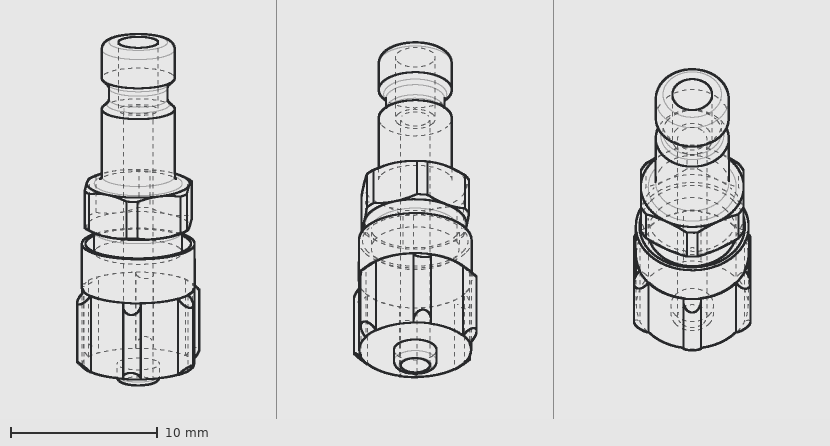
import cadquery as cq
import math

total_height = 24
head_bottom = 21.45
stem_top = 19.27
nut_top = 14.0
nut_bottom = 11.0
collar_top = 9.72
rib_top = 6.6
sleeve_bottom = 1.2

stem_diameter = 5.0
groove_diameter = 4.0
neck_diameter = 6
collar_diameter = 7.7
sleeve_diameter = 7.63
nut_corner_diameter = 7.7
tip_diameter = 2.9
recess_diameter = 7.2
bore_diameter = 2.0
socket_diameter = 2.7

nut_across_flats = 7.0
nut_chamfer_angle = 30

round_radius = 0.5
neck_fillet_radius = 0.4
tip_round = 0.34
socket_depth = 4.8
rib_count = 6
rib_radius = 0.6
rib_outer_diameter = 9.0

stem_radius = stem_diameter / 2
groove_radius = groove_diameter / 2
neck_radius = neck_diameter / 2
collar_radius = collar_diameter / 2
rib_outer_radius = rib_outer_diameter / 2
nut_flat_radius = nut_across_flats / 2


def cylinder(diameter, bottom, top):
    """Vertical cylinder centred on the axis."""
    return cq.Workplane("XY").workplane(offset=bottom).circle(diameter / 2).extrude(top - bottom)


def revolve_profile(profile):
    """Turn a closed radius-height profile around the vertical axis."""
    return profile.close().revolve(360, (0, 0, 0), (0, 1, 0))


def make_stem():
    """Round head, waisted groove and stem with a concave foot."""
    flank_angle = math.radians(45)
    half_angle = flank_angle / 2
    blend_reach = round_radius * math.sin(flank_angle)
    blend_radius = groove_radius + round_radius * (1 - math.cos(flank_angle))
    blend_mid_radius = groove_radius + round_radius * (1 - math.cos(half_angle))
    blend_mid_rise = round_radius * math.sin(half_angle)
    flank = stem_radius - blend_radius
    floor_top = head_bottom - flank - blend_reach
    floor_bottom = stem_top + flank + blend_reach
    foot_center_radius = stem_radius + round_radius
    foot_center_height = nut_top + round_radius
    return revolve_profile(
        cq.Workplane("XZ")
        .moveTo(0, nut_bottom)
        .lineTo(foot_center_radius, nut_bottom)
        .lineTo(foot_center_radius, nut_top)
        .threePointArc(
            (foot_center_radius - blend_reach, foot_center_height - blend_reach),
            (stem_radius, foot_center_height),
        )
        .lineTo(stem_radius, stem_top)
        .lineTo(blend_radius, stem_top + flank)
        .threePointArc((blend_mid_radius, floor_bottom - blend_mid_rise), (groove_radius, floor_bottom))
        .lineTo(groove_radius, floor_top)
        .threePointArc((blend_mid_radius, floor_top + blend_mid_rise), (blend_radius, floor_top + blend_reach))
        .lineTo(stem_radius, head_bottom)
        .lineTo(stem_radius, total_height)
        .lineTo(0, total_height)
    ).faces(">Z").edges().fillet(round_radius)


def make_nut():
    """Hexagon with two flats facing X, trimmed by a cylinder with conical ends."""
    hexagon = (
        cq.Workplane("XY")
        .workplane(offset=nut_bottom)
        .polygon(6, nut_across_flats, circumscribed=True)
        .extrude(nut_top - nut_bottom)
    )
    corner_radius = nut_corner_diameter / 2
    drop = (corner_radius - nut_flat_radius) * math.tan(math.radians(nut_chamfer_angle))
    envelope = revolve_profile(
        cq.Workplane("XZ")
        .moveTo(0, nut_bottom)
        .lineTo(nut_flat_radius, nut_bottom)
        .lineTo(corner_radius, nut_bottom + drop)
        .lineTo(corner_radius, nut_top - drop)
        .lineTo(nut_flat_radius, nut_top)
        .lineTo(0, nut_top)
    )
    return hexagon.intersect(envelope)


def make_collar():
    """Collar with a 45 degree countersink that narrows down to the neck."""
    recess_radius = recess_diameter / 2
    recess_depth = recess_radius - neck_radius
    return revolve_profile(
        cq.Workplane("XZ")
        .moveTo(0, rib_top)
        .lineTo(collar_radius, rib_top)
        .lineTo(collar_radius, collar_top)
        .lineTo(recess_radius, collar_top)
        .lineTo(neck_radius, collar_top - recess_depth)
        .lineTo(0, collar_top - recess_depth)
    )


def make_neck():
    """Cylinder under the nut, with a concave blend up to the nut's underside."""
    diagonal = neck_fillet_radius * math.sin(math.radians(45))
    center_radius = neck_radius + neck_fillet_radius
    center_height = nut_bottom - neck_fillet_radius
    return revolve_profile(
        cq.Workplane("XZ")
        .moveTo(0, rib_top)
        .lineTo(neck_radius, rib_top)
        .lineTo(neck_radius, center_height)
        .threePointArc((center_radius - diagonal, center_height + diagonal), (center_radius, nut_bottom))
        .lineTo(0, nut_bottom)
    )


def make_ribs():
    """Round grip ribs around the sleeve, bevelled at 45 degrees at both ends."""
    bevel = rib_outer_radius - collar_radius
    envelope = revolve_profile(
        cq.Workplane("XZ")
        .moveTo(0, sleeve_bottom)
        .lineTo(collar_radius, sleeve_bottom)
        .lineTo(rib_outer_radius, sleeve_bottom + bevel)
        .lineTo(rib_outer_radius, rib_top - bevel)
        .lineTo(collar_radius, rib_top)
        .lineTo(0, rib_top)
    )
    rods = (
        cq.Workplane("XY")
        .workplane(offset=sleeve_bottom)
        .polarArray(rib_outer_radius - rib_radius, 90, 360, rib_count)
        .circle(rib_radius)
        .extrude(rib_top - sleeve_bottom)
    )
    return rods.intersect(envelope)


sleeve = cylinder(sleeve_diameter, sleeve_bottom, rib_top)
tip = cylinder(tip_diameter, 0, sleeve_bottom).faces("<Z").edges().fillet(tip_round)
bore = cylinder(bore_diameter, 0, total_height)
socket = cylinder(socket_diameter, total_height - socket_depth, total_height)

result = (
    make_stem()
    .union(make_nut())
    .union(make_neck())
    .union(make_collar())
    .union(sleeve)
    .union(make_ribs())
    .union(tip)
    .cut(bore)
    .cut(socket)
)